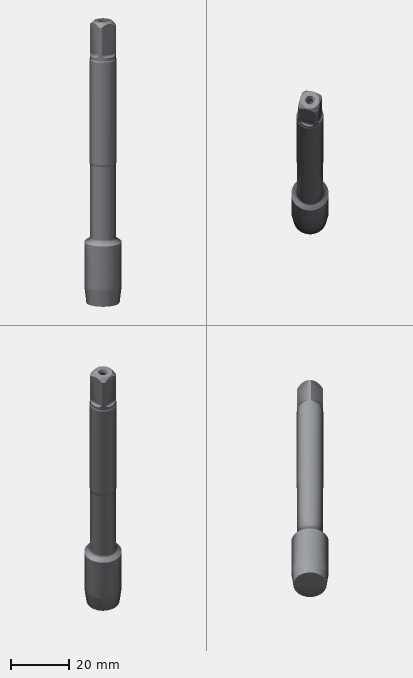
import cadquery as cq

TOTAL_LENGTH = 100.0
TAPER_TOP = 5.9
CUTTER_TOP = 21.3
FLARE_BOTTOM = 21.6
FLARE_EDGE = 22.4
NECK_BOTTOM = 23.5
SHANK_BOTTOM = 49.2
SHANK_TOP = 86.4
SQUARE_BOTTOM = 88.9

TIP_RADIUS = 11.4 / 2
CUTTER_RADIUS = 12.8 / 2
FLARE_EDGE_RADIUS = 5.3
NECK_RADIUS = 9.0 / 2
SHANK_RADIUS = 9.3 / 2
DRIVE_RADIUS = 8.9 / 2

SHANK_LOWER_TAPER = 0.8
SHANK_TOP_CHAMFER = 0.3

SQUARE_SIDES = 4
SQUARE_WIDTH = 7.0
RUNOUT_DROP = 1.0
TOP_CHAMFER = 1.3

CENTER_DIAMETER = 2.0
COUNTERSINK_DIAMETER = 3.3
COUNTERSINK_ANGLE = 60.0
CENTER_DEPTH = 2.5
DRILL_TIP_HEIGHT = 0.6


def make_cutter():
    """Cutting head: a cylinder with a tapered lead at its lower end."""
    return (
        cq.Workplane("XZ")
        .moveTo(0, 0)
        .lineTo(TIP_RADIUS, 0)
        .lineTo(CUTTER_RADIUS, TAPER_TOP)
        .lineTo(CUTTER_RADIUS, CUTTER_TOP)
        .lineTo(0, CUTTER_TOP)
        .close()
        .revolve(360, (0, 0), (0, 1))
    )


def make_shank_blank():
    """Turned shank: flared foot, neck, clamping cylinder and drive end."""
    return (
        cq.Workplane("XZ")
        .moveTo(0, CUTTER_TOP)
        .lineTo(0, TOTAL_LENGTH)
        .lineTo(DRIVE_RADIUS - TOP_CHAMFER, TOTAL_LENGTH)
        .lineTo(DRIVE_RADIUS, TOTAL_LENGTH - TOP_CHAMFER)
        .lineTo(DRIVE_RADIUS, SHANK_TOP + SHANK_TOP_CHAMFER)
        .lineTo(SHANK_RADIUS, SHANK_TOP)
        .lineTo(SHANK_RADIUS, SHANK_BOTTOM + SHANK_LOWER_TAPER)
        .lineTo(NECK_RADIUS, SHANK_BOTTOM)
        .lineTo(NECK_RADIUS, NECK_BOTTOM)
        .tangentArcPoint((FLARE_EDGE_RADIUS, FLARE_EDGE), relative=False)
        .lineTo(CUTTER_RADIUS, FLARE_BOTTOM)
        .lineTo(CUTTER_RADIUS, CUTTER_TOP)
        .close()
        .revolve(360, (0, 0), (0, 1))
    )


def make_flat_cutter():
    """Cutter for one flat on the +X side, with a rounded runout below it."""
    flat = SQUARE_WIDTH / 2
    return (
        cq.Workplane("XZ")
        .moveTo(flat, TOTAL_LENGTH)
        .lineTo(flat, SQUARE_BOTTOM)
        .tangentArcPoint((DRIVE_RADIUS, SQUARE_BOTTOM - RUNOUT_DROP), relative=False)
        .lineTo(DRIVE_RADIUS, TOTAL_LENGTH)
        .close()
        .extrude(DRIVE_RADIUS, both=True)
    )


def make_shank():
    """Shank with four drive flats and a countersunk, cone-bottomed center hole."""
    shank = make_shank_blank()
    for side in range(SQUARE_SIDES):
        angle = 360 / SQUARE_SIDES * side
        flat_cutter = make_flat_cutter().rotate((0, 0, 0), (0, 0, 1), angle)
        shank = shank.cut(flat_cutter)
    hole_bottom = TOTAL_LENGTH - CENTER_DEPTH
    tip_point = cq.Vector(0, 0, hole_bottom - DRILL_TIP_HEIGHT)
    drill_tip = cq.Solid.makeCone(0, CENTER_DIAMETER / 2, DRILL_TIP_HEIGHT, pnt=tip_point)
    return (
        shank.faces(">Z")
        .workplane(origin=(0, 0, TOTAL_LENGTH))
        .cskHole(CENTER_DIAMETER, COUNTERSINK_DIAMETER, COUNTERSINK_ANGLE, CENTER_DEPTH)
        .cut(cq.Workplane(drill_tip))
    )


cutter = make_cutter()
shank = make_shank()
result = cq.Compound.makeCompound([cutter.val(), shank.val()])